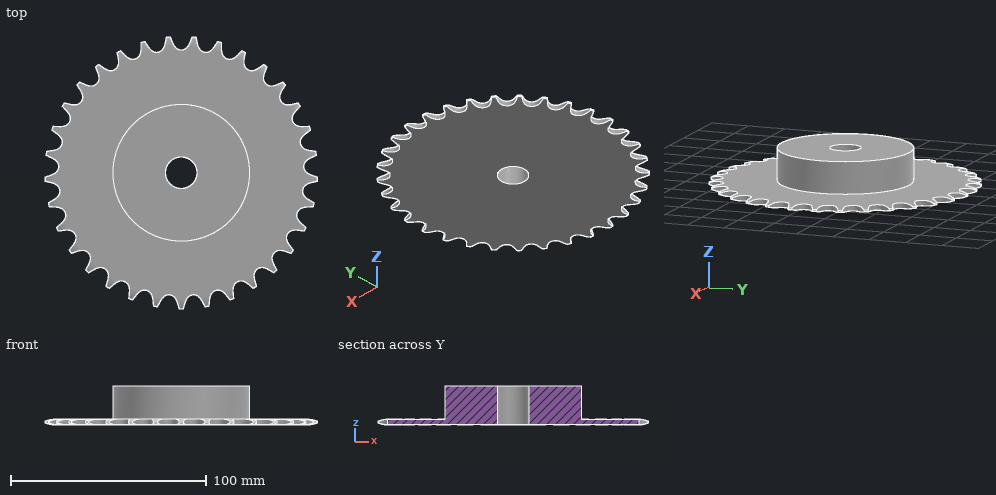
import cadquery as cq
import math

tooth_count = 33
chain_pitch = 12.7
overall_width = 139.5
plate_thickness = 2.9
total_height = 20.0
hub_diameter = 70.0
bore_diameter = 16.0

seat_radius = 3.9
seat_half_angle = 50
working_radius = 8.6
working_angle = 18
tip_half_angle = 1.0
relief_width = 5.0
relief_radius = chain_pitch

pitch_angle = 360 / tooth_count
pitch_radius = chain_pitch / (2 * math.sin(math.pi / tooth_count))
nearest_corner_angle = pitch_angle / 4 - tip_half_angle
tip_radius = overall_width / 2 / math.cos(math.radians(nearest_corner_angle))
first_gap_angle = -90 + pitch_angle / 2


def make_blank():
    """Revolve the plate, its thickness thinning along arcs towards the tooth tips."""
    relief_start = tip_radius - relief_width
    tip_drop = relief_radius - math.sqrt(relief_radius**2 - relief_width**2)
    middle_x = relief_start + relief_width / 2
    middle_drop = relief_radius - math.sqrt(relief_radius**2 - (relief_width / 2)**2)
    return (
        cq.Workplane("XZ")
        .lineTo(relief_start, 0)
        .threePointArc((middle_x, middle_drop), (tip_radius, tip_drop))
        .lineTo(tip_radius, plate_thickness - tip_drop)
        .threePointArc((middle_x, plate_thickness - middle_drop), (relief_start, plate_thickness))
        .lineTo(0, plate_thickness)
        .close()
        .revolve(360, (0, 0), (0, 1))
    )


def make_gap():
    """Cutter for one tooth gap on the +X axis: roller seat, working arcs and straight flanks.

    The centre of the upper working arc lies on the line through the seat centre and
    the seat end, so the two arcs meet smoothly. The straight flank is tangent to it.
    """
    seat_end_angle = math.radians(seat_half_angle)
    flank_angle = math.radians(seat_half_angle + working_angle)
    middle_angle = (seat_end_angle + flank_angle) / 2
    centre_shift = working_radius - seat_radius
    working_centre_x = pitch_radius + centre_shift * math.cos(seat_end_angle)
    working_centre_y = -centre_shift * math.sin(seat_end_angle)

    def working_point(angle):
        return (
            working_centre_x - working_radius * math.cos(angle),
            working_centre_y + working_radius * math.sin(angle),
        )

    def mirrored(point):
        return (point[0], -point[1])

    seat_bottom = (pitch_radius - seat_radius, 0)
    seat_end = working_point(seat_end_angle)
    working_middle = working_point(middle_angle)
    flank_start = working_point(flank_angle)
    outer_x = tip_radius + seat_radius
    outer = (outer_x, flank_start[1] + (outer_x - flank_start[0]) / math.tan(flank_angle))
    return (
        cq.Workplane("XY")
        .moveTo(*outer)
        .lineTo(*flank_start)
        .threePointArc(working_middle, seat_end)
        .threePointArc(seat_bottom, mirrored(seat_end))
        .threePointArc(mirrored(working_middle), mirrored(flank_start))
        .lineTo(*mirrored(outer))
        .close()
        .extrude(plate_thickness)
    )


sprocket = make_blank()

gap = make_gap()
for index in range(tooth_count):
    gap_angle = first_gap_angle + index * pitch_angle
    sprocket = sprocket.cut(gap.rotate((0, 0, 0), (0, 0, 1), gap_angle))

hub = cq.Workplane("XY").circle(hub_diameter / 2).extrude(total_height)
bore = cq.Workplane("XY").circle(bore_diameter / 2).extrude(total_height)
result = sprocket.union(hub).cut(bore)